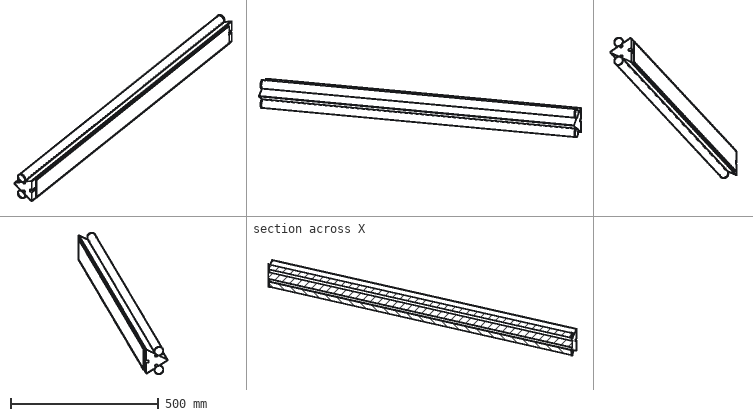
import cadquery as cq
import math

LENGTH = 1132.0
OVERALL_WIDTH = 79.0
OVERALL_HEIGHT = 98.0

PLATE_THICKNESS = 5.0
PLATE_WIDTH = 75.0
PLATE_LENGTH = 1089.0

ROD_DIAMETER = 29.0
CAP_DIAMETER = 30.0
CAP_LENGTH = 4.0

SLOT_WIDTH = 9.0
SLOT_DEPTH = 9.0

TIP_FLAT = 2.0
TRIMMED_TIP_HEIGHT = TIP_FLAT * math.sqrt(3) / 2
BEAM_WIDTH = OVERALL_WIDTH - PLATE_THICKNESS
FACE_DISTANCE = (BEAM_WIDTH + TRIMMED_TIP_HEIGHT) / 3
TIP_DISTANCE = BEAM_WIDTH - FACE_DISTANCE

PLATE_FACE_ANGLE = 0
ROD_FACE_ANGLES = (120, 240)
TIP_ANGLES = (60, 180, 300)

ROD_AXIS_HEIGHT = (OVERALL_HEIGHT - CAP_DIAMETER) / 2
ROD_AXIS_DISTANCE = ROD_AXIS_HEIGHT / math.sin(math.radians(ROD_FACE_ANGLES[0]))
ROD_LENGTH = LENGTH - 2 * CAP_LENGTH


def section_point(outward, sideways, angle):
    """Point in the section, given along and across the direction at this angle."""
    a = math.radians(angle)
    x = outward * math.cos(a) - sideways * math.sin(a)
    z = outward * math.sin(a) + sideways * math.cos(a)
    return x, z


def extrude_along_y(outline, length):
    """Extrude a section outline by the given total length, centered on Y = 0."""
    return outline.extrude(length).translate((0, length / 2, 0))


def make_cylinder(diameter, length, angle):
    """Cylinder on the rod axis of one slanted face."""
    center = section_point(ROD_AXIS_DISTANCE, 0, angle)
    circle = cq.Workplane("XZ").center(*center).circle(diameter / 2)
    return extrude_along_y(circle, length)


def make_slot_cutter(length, angle):
    radius = SLOT_WIDTH / 2
    floor = FACE_DISTANCE - SLOT_DEPTH
    mouth = FACE_DISTANCE + SLOT_WIDTH
    outline = (
        cq.Workplane("XZ")
        .moveTo(*section_point(mouth, radius, angle))
        .lineTo(*section_point(floor + radius, radius, angle))
        .threePointArc(
            section_point(floor, 0, angle),
            section_point(floor + radius, -radius, angle),
        )
        .lineTo(*section_point(mouth, -radius, angle))
        .close()
    )
    return extrude_along_y(outline, length)


def make_beam():
    corners = []
    for angle in TIP_ANGLES:
        corners.append(section_point(TIP_DISTANCE, -TIP_FLAT / 2, angle))
        corners.append(section_point(TIP_DISTANCE, TIP_FLAT / 2, angle))
    beam = extrude_along_y(cq.Workplane("XZ").polyline(corners).close(), LENGTH)

    beam = beam.cut(make_slot_cutter(LENGTH, PLATE_FACE_ANGLE))

    for angle in ROD_FACE_ANGLES:
        beam = beam.cut(make_slot_cutter(ROD_LENGTH, angle))
        beam = beam.cut(make_cylinder(CAP_DIAMETER, LENGTH, angle))
    return beam


def make_plate():
    center_x = FACE_DISTANCE + PLATE_THICKNESS / 2
    outline = cq.Workplane("XZ").center(center_x, 0).rect(PLATE_THICKNESS, PLATE_WIDTH)
    return extrude_along_y(outline, PLATE_LENGTH)


def make_rod(angle):
    return make_cylinder(ROD_DIAMETER, ROD_LENGTH, angle)


def make_cap(angle, end):
    """Disc closing a rod at its -Y end (end = -1) or +Y end (end = 1)."""
    center_y = end * (LENGTH - CAP_LENGTH) / 2
    return make_cylinder(CAP_DIAMETER, CAP_LENGTH, angle).translate((0, center_y, 0))


beam = make_beam()
plate = make_plate()
rods = []
caps = []
for face_angle in ROD_FACE_ANGLES:
    rods.append(make_rod(face_angle).val())
    for rod_end in (-1, 1):
        caps.append(make_cap(face_angle, rod_end).val())

result = cq.Compound.makeCompound([beam.val(), plate.val(), *rods, *caps])